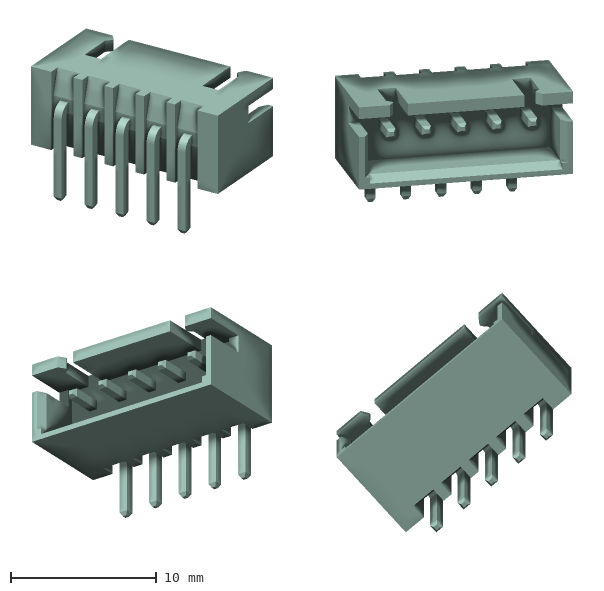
import cadquery as cq
import math


WIDTH = 15.1
DEPTH = 7.2
HEIGHT = 5.93

PIN_COUNT = 5
PIN_ROW_SPAN = 10.0
PIN_THICKNESS = 0.63
PIN_TAIL_Y = -0.3
PIN_TOP_Z = 3.8
PIN_BEND_RADIUS = 0.97
PIN_TAIL_DROP = 3.41
PIN_MOUTH_SETBACK = 1.01
TIP_LENGTH = 0.29
TIP_INSET = 0.17
PIN_PITCH = PIN_ROW_SPAN / (PIN_COUNT - 1)
PIN_XS = [(i - (PIN_COUNT - 1) / 2) * PIN_PITCH for i in range(PIN_COUNT)]

CAVITY_DEPTH = 3.65
CEILING_Z = 5.09
SIDE_WALL = 0.77
FLOOR_WALL = 0.83
SIDE_LEAD_IN = 0.36
SIDE_LEAD_IN_DEPTH = 0.63
FLOOR_LEAD_IN = 0.45
FLOOR_LEAD_IN_DEPTH = 0.72

SIDE_SLOT_HEIGHT = 1.3
SIDE_SLOT_DEPTH = 3.23

LATCH_OUTER_X = 5.4
LATCH_MOUTH_X = 5.38
CATCH_X = 5.03
CATCH_FRONT_DEPTH = 0.51
CATCH_BACK_DEPTH = 0.63
CATCH_HEIGHT = LATCH_OUTER_X - CATCH_X

RECESS_WIDTH = 1.8
RECESS_TOP_DEPTH = 0.82
RECESS_LAND_DEPTH = 0.29
RECESS_BASE_DEPTH = 1.09
LAND_TOP_Z = 4.03
LAND_BASE_Z = 2.97


def make_cavity():
    """Box open at the mouth, widened there by sloped lead-ins on both sides and on the floor."""
    half_width = WIDTH / 2 - SIDE_WALL
    mouth_half_width = half_width + SIDE_LEAD_IN
    back_y = DEPTH - CAVITY_DEPTH
    plan = [
        (half_width, back_y),
        (half_width, DEPTH - SIDE_LEAD_IN_DEPTH),
        (mouth_half_width, DEPTH),
    ]
    mirrored_plan = [(-x, y) for x, y in reversed(plan)]
    room = (
        cq.Workplane("XY", origin=(0, 0, FLOOR_WALL))
        .polyline(plan + mirrored_plan)
        .close()
        .extrude(CEILING_Z - FLOOR_WALL)
    )
    floor_lead_in = (
        cq.Workplane("YZ")
        .polyline([
            (DEPTH - FLOOR_LEAD_IN_DEPTH, FLOOR_WALL),
            (DEPTH, FLOOR_WALL),
            (DEPTH, FLOOR_WALL - FLOOR_LEAD_IN),
        ])
        .close()
        .extrude(half_width, both=True)
    )
    return room.union(floor_lead_in)


def make_side_slots():
    """One bar across the whole width opens both side walls."""
    bar_start = (0, DEPTH - SIDE_SLOT_DEPTH, CEILING_Z - SIDE_SLOT_HEIGHT)
    return cq.Workplane("XY", origin=bar_start).box(
        WIDTH, SIDE_SLOT_DEPTH, SIDE_SLOT_HEIGHT, centered=(True, False, False)
    )


def make_latch_slot(side):
    """Slot through the top wall; side is +1 or -1 for its end of the housing."""
    inner_x = PIN_ROW_SPAN / 2 - RECESS_WIDTH / 2
    back_y = DEPTH - CAVITY_DEPTH
    outline = [
        (inner_x, back_y),
        (LATCH_OUTER_X, back_y),
        (LATCH_OUTER_X, DEPTH - CATCH_BACK_DEPTH - CATCH_HEIGHT),
        (CATCH_X, DEPTH - CATCH_BACK_DEPTH),
        (CATCH_X, DEPTH - CATCH_FRONT_DEPTH),
        (LATCH_MOUTH_X, DEPTH),
        (inner_x, DEPTH),
    ]
    return (
        cq.Workplane("XY", origin=(0, 0, CEILING_Z))
        .polyline([(side * x, y) for x, y in outline])
        .close()
        .extrude(HEIGHT - CEILING_Z)
    )


def make_recess(x):
    """Back recess: slopes in toward the top and toward the base from a flat land at the pin."""
    return (
        cq.Workplane("YZ", origin=(x, 0, 0))
        .polyline([
            (0, 0),
            (RECESS_BASE_DEPTH, 0),
            (RECESS_LAND_DEPTH, LAND_BASE_Z),
            (RECESS_LAND_DEPTH, LAND_TOP_Z),
            (RECESS_TOP_DEPTH, HEIGHT),
            (0, HEIGHT),
        ])
        .close()
        .extrude(RECESS_WIDTH / 2, both=True)
    )


def make_pin(x):
    """Square pin, bent a quarter turn, with both ends tapered."""
    tail_end_z = TIP_LENGTH - PIN_TAIL_DROP
    contact_end_y = DEPTH - PIN_MOUTH_SETBACK - TIP_LENGTH
    under_z = PIN_TOP_Z - PIN_THICKNESS
    outer_y = PIN_TAIL_Y - PIN_THICKNESS / 2
    inner_y = PIN_TAIL_Y + PIN_THICKNESS / 2
    bend_y = outer_y + PIN_BEND_RADIUS
    bend_z = PIN_TOP_Z - PIN_BEND_RADIUS
    inner_bend_radius = PIN_BEND_RADIUS - PIN_THICKNESS
    taper = math.degrees(math.atan2(TIP_INSET, TIP_LENGTH))
    wire = (
        cq.Workplane("YZ", origin=(x, 0, 0))
        .moveTo(outer_y, tail_end_z)
        .lineTo(outer_y, bend_z)
        .radiusArc((bend_y, PIN_TOP_Z), PIN_BEND_RADIUS)
        .lineTo(contact_end_y, PIN_TOP_Z)
        .lineTo(contact_end_y, under_z)
        .lineTo(bend_y, under_z)
        .radiusArc((inner_y, bend_z), -inner_bend_radius)
        .lineTo(inner_y, tail_end_z)
        .close()
        .extrude(PIN_THICKNESS / 2, both=True)
    )
    tail_tip = (
        cq.Workplane("XY", origin=(x, PIN_TAIL_Y, tail_end_z))
        .rect(PIN_THICKNESS, PIN_THICKNESS)
        .extrude(-TIP_LENGTH, taper=taper)
    )
    contact_tip = (
        cq.Workplane("XZ", origin=(x, contact_end_y, PIN_TOP_Z - PIN_THICKNESS / 2))
        .rect(PIN_THICKNESS, PIN_THICKNESS)
        .extrude(-TIP_LENGTH, taper=taper)
    )
    return wire.union(tail_tip).union(contact_tip)


def make_housing(pins):
    """Block with its cavity, slots and recesses, and a matching hole for every pin."""
    body = cq.Workplane("XY").box(WIDTH, DEPTH, HEIGHT, centered=(True, False, False))
    body = body.cut(make_cavity()).cut(make_side_slots())
    for side in (-1, 1):
        body = body.cut(make_latch_slot(side))
    for x in PIN_XS:
        body = body.cut(make_recess(x))
    for pin in pins:
        body = body.cut(pin)
    return body


pins = [make_pin(x) for x in PIN_XS]
housing = make_housing(pins)

result = cq.Compound.makeCompound([housing.val(), *[pin.val() for pin in pins]])